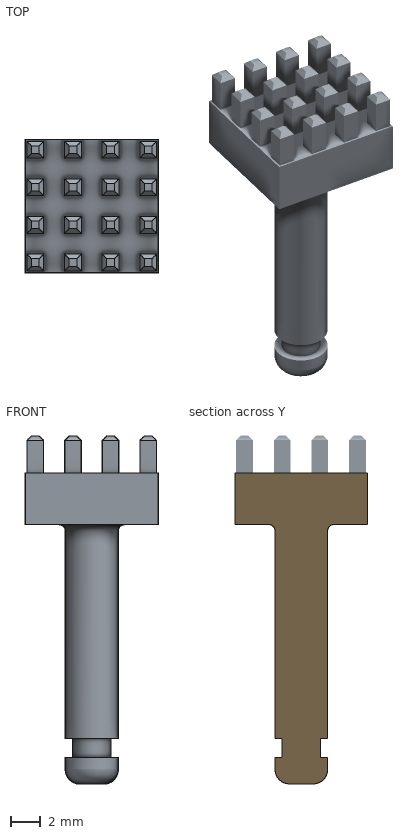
import cadquery as cq

total_height = 23.5
block_side = 9.0
block_height = 3.5

pins_per_side = 4
pin_pitch = 2.54
pin_width = 1.13
pin_height = 2.5
pin_chamfer = 0.3

shaft_diameter = 3.6
root_fillet = 0.4

groove_diameter = 2.6
groove_width = 1.27
head_height = 1.8
head_round = 1.0

groove_top = head_height + groove_width
block_top = total_height - pin_height
block_bottom = block_top - block_height


def make_block():
    """Square block carrying the pins."""
    return (
        cq.Workplane("XY")
        .workplane(offset=block_bottom)
        .rect(block_side, block_side)
        .extrude(block_height)
    )


def make_pins():
    """Square grid of pins with chamfered tips."""
    return (
        cq.Workplane("XY")
        .workplane(offset=block_top)
        .rarray(pin_pitch, pin_pitch, pins_per_side, pins_per_side)
        .rect(pin_width, pin_width)
        .extrude(pin_height)
        .faces(">Z")
        .edges()
        .chamfer(pin_chamfer)
    )


def make_shaft():
    """Revolved shaft with a rounded head, a groove and a flared root."""
    shaft_radius = shaft_diameter / 2
    groove_radius = groove_diameter / 2
    profile = (
        cq.Workplane("XZ")
        .lineTo(shaft_radius - head_round, 0)
        .radiusArc((shaft_radius, head_round), -head_round)
        .lineTo(shaft_radius, head_height)
        .lineTo(groove_radius, head_height)
        .lineTo(groove_radius, groove_top)
        .lineTo(shaft_radius, groove_top)
        .lineTo(shaft_radius, block_bottom - root_fillet)
        .radiusArc((shaft_radius + root_fillet, block_bottom), root_fillet)
        .lineTo(0, block_bottom)
        .close()
    )
    return profile.revolve(360, (0, 0, 0), (0, 1, 0))


result = make_block().union(make_pins()).union(make_shaft())